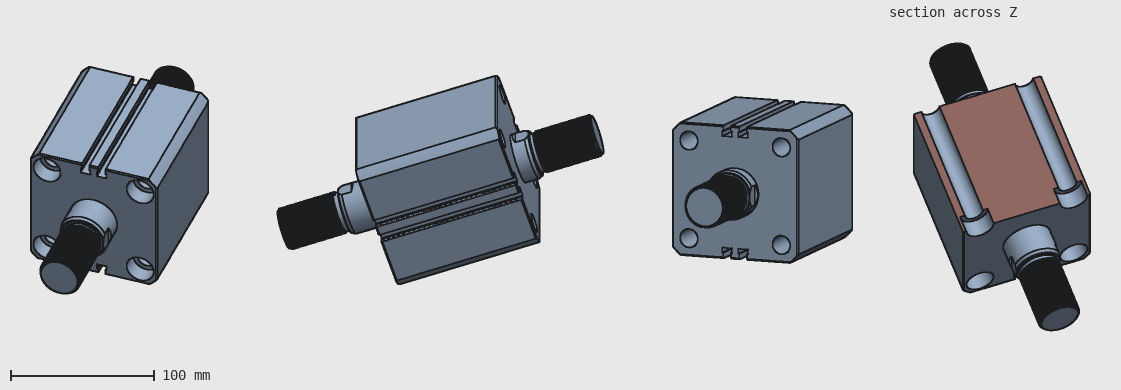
import cadquery as cq
overall_length = 230.0
body_size = 94.0
body_length = 103.5
front_reach = 68.5
rear_reach = overall_length - body_length - front_reach
front_face_y = front_reach - overall_length / 2
rear_face_y = front_face_y + body_length

corner_diameter = 124.2
end_chamfer = 1.0
hole_offset = 34.5
hole_diameter = 13.0
counterbore_diameter = 20.0
counterbore_depth = 12.6

slot_offset = 6.0
slot_mouth_width = 5.5
slot_mouth_depth = 4.1
slot_base_width = 7.1
slot_depth = 7.5

rod_diameter = 35.0
shoulder_to_tip = 44.8
shoulder_taper_length = 2.5
shoulder_taper_drop = 1.2
shoulder_edge_chamfer = 0.7
flat_width = 32.0
flat_length = 10.1

core_diameter = 28.0
thread_diameter = 30.0
thread_length = 41.9
thread_pitch = 1.5
thread_crest_width = thread_pitch / 6
thread_root_width = 0.1
ridge_embed = 0.07
tip_chamfer = 0.5


def make_end_face_plane():
    """Plane on the front housing face, with X right, Z up and its normal towards -Y."""
    return cq.Workplane("XZ", origin=(0, front_face_y, 0))


def make_slot_cutter(center_x, side):
    """T-shaped slot along the whole housing; side is +1 for the top face and -1 for the bottom."""
    surface_z = side * body_size / 2
    mouth = (
        make_end_face_plane()
        .center(center_x, surface_z - side * slot_mouth_depth / 2)
        .rect(slot_mouth_width, slot_mouth_depth)
        .extrude(-body_length)
    )
    base_height = slot_depth - slot_mouth_depth
    base = (
        make_end_face_plane()
        .center(center_x, surface_z - side * (slot_mouth_depth + base_height / 2))
        .rect(slot_base_width, base_height)
        .extrude(-body_length)
    )
    return mouth.union(base)


def make_housing():
    block = (
        make_end_face_plane()
        .rect(body_size, body_size)
        .extrude(-body_length)
        .faces("<Y or >Y")
        .chamfer(end_chamfer)
    )
    corner_round = make_end_face_plane().circle(corner_diameter / 2).extrude(-body_length)
    housing = block.intersect(corner_round)

    for side in (1, -1):
        for center_x in (-slot_offset, slot_offset):
            housing = housing.cut(make_slot_cutter(center_x, side))

    return (
        housing.faces("<Y")
        .workplane(origin=(0, front_face_y, 0))
        .rect(2 * hole_offset, 2 * hole_offset, forConstruction=True)
        .vertices()
        .cboreHole(hole_diameter, counterbore_diameter, counterbore_depth)
    )


def make_rod_blank(reach):
    """Turned rod without its thread, standing on Z = 0 with its tip at Z = reach."""
    rod_radius = rod_diameter / 2
    core_radius = core_diameter / 2
    shoulder_z = reach - shoulder_to_tip
    taper_end_z = shoulder_z - shoulder_edge_chamfer
    taper_end_radius = rod_radius - shoulder_taper_drop
    return (
        cq.Workplane("XZ")
        .lineTo(rod_radius, 0)
        .lineTo(rod_radius, taper_end_z - shoulder_taper_length)
        .lineTo(taper_end_radius, taper_end_z)
        .lineTo(taper_end_radius - shoulder_edge_chamfer, shoulder_z)
        .lineTo(core_radius, shoulder_z)
        .lineTo(core_radius, reach - tip_chamfer)
        .lineTo(core_radius - tip_chamfer, reach)
        .lineTo(0, reach)
        .close()
        .revolve(360, (0, 0, 0), (0, 1, 0))
    )


def make_flat_cutter(reach):
    """Cutter for the wrench flat on the +X side, with a 45 degree run-out at its inner end."""
    flat_x = flat_width / 2
    outer_x = rod_diameter
    shoulder_z = reach - shoulder_to_tip
    flat_end_z = shoulder_z - flat_length
    return (
        cq.Workplane("XZ")
        .moveTo(flat_x, shoulder_z)
        .lineTo(flat_x, flat_end_z)
        .lineTo(outer_x, flat_end_z - (outer_x - flat_x))
        .lineTo(outer_x, shoulder_z)
        .close()
        .extrude(rod_diameter / 2, both=True)
    )


def make_thread_ridge(reach):
    """Right-hand helical ridge of trapezoid section that ends at the tip chamfer."""
    crest_radius = thread_diameter / 2
    foot_radius = core_diameter / 2 - ridge_embed
    half_foot = (thread_pitch - thread_root_width) / 2
    half_crest = thread_crest_width / 2
    start_z = reach - thread_length
    end_z = reach - tip_chamfer - half_foot
    helix = cq.Wire.makeHelix(thread_pitch, end_z - start_z, foot_radius)
    ridge = (
        cq.Workplane("XZ")
        .moveTo(foot_radius, -half_foot)
        .lineTo(crest_radius, -half_crest)
        .lineTo(crest_radius, half_crest)
        .lineTo(foot_radius, half_foot)
        .close()
        .sweep(cq.Workplane(helix), isFrenet=True)
    )
    return ridge.translate((0, 0, start_z))


def make_rod(reach):
    flat = make_flat_cutter(reach)
    return (
        make_rod_blank(reach)
        .cut(flat)
        .cut(flat.mirror("YZ"))
        .union(make_thread_ridge(reach))
    )


housing = make_housing()
rods = []
for reach, face_y, turn in ((front_reach, front_face_y, 90), (rear_reach, rear_face_y, -90)):
    rod = make_rod(reach).rotate((0, 0, 0), (1, 0, 0), turn).translate((0, face_y, 0))
    rods.append(rod)

result = cq.Compound.makeCompound([housing.solids().val(), *[rod.solids().val() for rod in rods]])